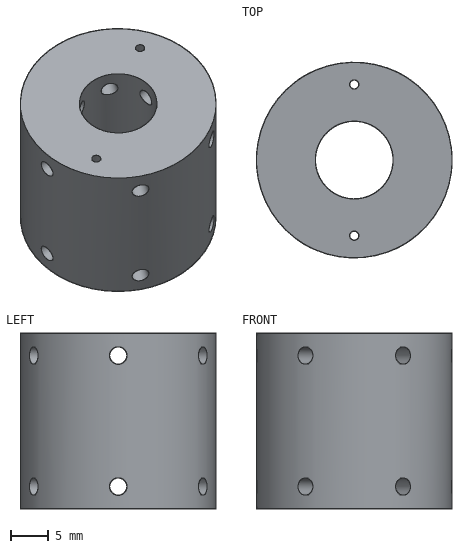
import cadquery as cq

OUTER_DIAMETER = 26.29
BORE_DIAMETER = 10.4
HEIGHT = 23.59

RADIAL_HOLE_DIAMETER = 2.3
RADIAL_HOLE_COUNT = 6
RADIAL_ROW_INSET = 3.0

PIN_HOLE_DIAMETER = 1.19
PIN_CIRCLE_RADIUS = 10.15

ROW_HEIGHTS = (RADIAL_ROW_INSET, HEIGHT - RADIAL_ROW_INSET)


def make_sleeve():
    """Plain cylinder with a central through bore, standing on Z = 0."""
    return (
        cq.Workplane("XY")
        .circle(OUTER_DIAMETER / 2)
        .circle(BORE_DIAMETER / 2)
        .extrude(HEIGHT)
    )


def drill_radial_row(body, height):
    """Drill one ring of evenly spaced radial holes through the wall into the bore."""
    drill = (
        cq.Workplane("YZ")
        .center(0, height)
        .circle(RADIAL_HOLE_DIAMETER / 2)
        .extrude(OUTER_DIAMETER)
    )
    for index in range(RADIAL_HOLE_COUNT):
        angle = index * 360 / RADIAL_HOLE_COUNT
        body = body.cut(drill.rotate((0, 0, 0), (0, 0, 1), angle))
    return body


def drill_pin_holes(body):
    """Drill the two small axial through holes, opposite each other on the Y axis."""
    drills = (
        cq.Workplane("XY")
        .pushPoints([(0, PIN_CIRCLE_RADIUS), (0, -PIN_CIRCLE_RADIUS)])
        .circle(PIN_HOLE_DIAMETER / 2)
        .extrude(HEIGHT)
    )
    return body.cut(drills)


result = make_sleeve()
for row_height in ROW_HEIGHTS:
    result = drill_radial_row(result, row_height)
result = drill_pin_holes(result)